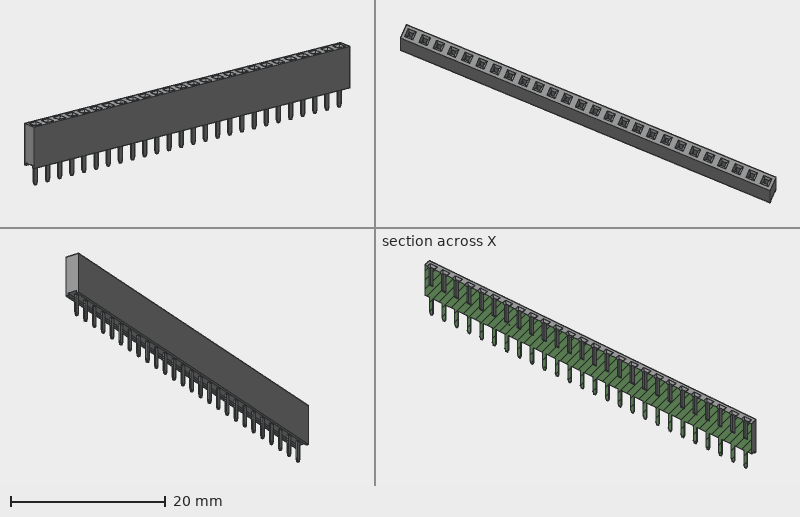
import cadquery as cq

contact_count = 26
body_length = 52.0
body_width = 2.0
total_height = 8.3
body_height = 5.65
pitch = body_length / contact_count

groove_width = 1.3
groove_depth = 0.3

lead_in_width = 1.15
hole_width = 0.55
lead_in_depth = (lead_in_width - hole_width) / 2
hole_depth = 3.65

pin_width = 0.55
pin_thickness = 0.2
tip_width = 0.25
tip_length = 0.4
pin_rise = 0.5

body_top = total_height / 2
body_bottom = body_top - body_height
pin_bottom = -total_height / 2
pin_top = body_top - hole_depth + pin_rise
first_contact_y = -(body_length - pitch) / 2
contact_places = [(0, first_contact_y + i * pitch) for i in range(contact_count)]


def make_body():
    block = cq.Workplane("XY", origin=(0, 0, body_bottom)).box(
        body_width, body_length, body_height, centered=(True, True, False)
    )
    groove = cq.Workplane("XY", origin=(0, 0, body_bottom)).box(
        groove_width, body_length, groove_depth, centered=(True, True, False)
    )
    return block.cut(groove)


def make_socket():
    """Socket cavity on the Z axis, with its mouth at the body top."""
    lead_in = (
        cq.Workplane("XY", origin=(0, 0, body_top))
        .rect(lead_in_width, lead_in_width)
        .workplane(offset=-lead_in_depth)
        .rect(hole_width, hole_width)
        .loft(ruled=True)
    )
    hole = cq.Workplane("XY", origin=(0, 0, body_top - hole_depth)).box(
        hole_width, hole_width, hole_depth - lead_in_depth, centered=(True, True, False)
    )
    return lead_in.union(hole)


def make_pin():
    """Pin on the Z axis, from inside the socket hole down to the tapered tip."""
    tip_top = pin_bottom + tip_length
    outline = [
        (-pin_width / 2, pin_top),
        (-pin_width / 2, tip_top),
        (-tip_width / 2, pin_bottom),
        (tip_width / 2, pin_bottom),
        (pin_width / 2, tip_top),
        (pin_width / 2, pin_top),
    ]
    return cq.Workplane("YZ").polyline(outline).close().extrude(pin_thickness / 2, both=True)


def repeat_along_row(shape):
    """Copy a shape to every contact place."""
    solid = shape.val()
    return cq.Workplane("XY").pushPoints(contact_places).eachpoint(lambda place: solid.moved(place))


sockets = repeat_along_row(make_socket())
pins = repeat_along_row(make_pin())
result = make_body().cut(sockets.combine()).union(pins.combine())